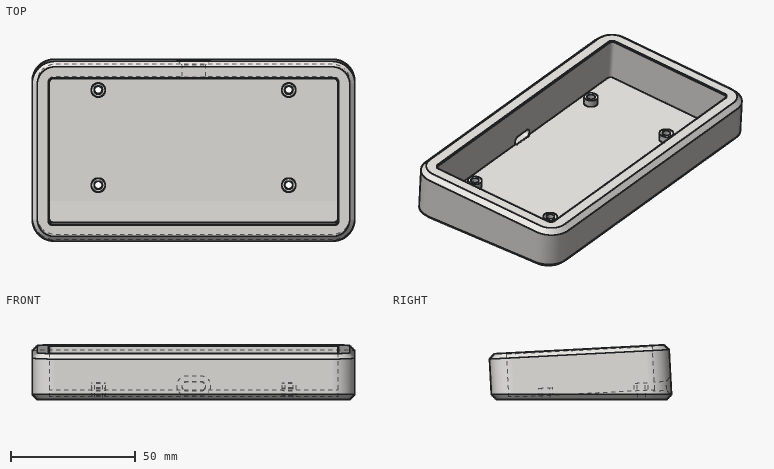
import cadquery as cq
import math

tilt = 3.0
length = 129.3
width = 72.1
overall_height = 22.0
corner_radius = 9.0
edge_chamfer = 2.1

wall = 6.9
cavity_radius = 1.5
cavity_depth = 17.7
rim_chamfer = 0.4
floor_thickness = 1.4

boss_diameter = 5.5
boss_hole_diameter = 3.2
boss_height = 3.0
boss_spacing = 38.1
boss_centre_y = 4.8

slot_width = 9.5
slot_height = 3.6
slot_drop = 0.5
slot_flare = 2.1

slope = math.radians(tilt)
rim_back_y = width / 2 - edge_chamfer
rim_height = (overall_height - rim_back_y * math.sin(slope)) / math.cos(slope)
cavity_floor = rim_height - cavity_depth
cavity_length = length - 2 * wall
cavity_width = width - 2 * wall
margin = 12.9
boss_root = floor_thickness / 2
boss_top = cavity_floor + boss_height


def tilted(shape):
    """Turn a body built square to the rim into its place."""
    return shape.rotate((0, 0, 0), (1, 0, 0), tilt)


def slab(bottom, top):
    """Large level block between two heights."""
    block = cq.Workplane("XY").workplane(offset=bottom)
    return block.rect(2 * length, 2 * length).extrude(top - bottom)


def make_body():
    block = (
        cq.Workplane("XY").workplane(offset=-margin)
        .rect(length, width).extrude(rim_height + margin)
        .edges("|Z").fillet(corner_radius)
        .faces(">Z").chamfer(edge_chamfer)
    )
    body = tilted(block).intersect(slab(0, overall_height + margin))
    return body.faces("<Z").chamfer(edge_chamfer)


def make_cavity():
    pocket = (
        cq.Workplane("XY").workplane(offset=cavity_floor)
        .rect(cavity_length, cavity_width).extrude(cavity_depth)
        .edges("|Z").fillet(cavity_radius)
    )
    mouth = (
        cq.Workplane("XY").workplane(offset=rim_height)
        .sketch().rect(cavity_length + 2 * rim_chamfer, cavity_width + 2 * rim_chamfer)
        .vertices().fillet(cavity_radius + rim_chamfer).finalize()
        .extrude(-rim_chamfer, taper=45)
    )
    return tilted(pocket.union(mouth)).intersect(slab(floor_thickness, overall_height + margin))


def boss_cylinders(diameter, bottom, top):
    cylinders = (
        cq.Workplane("XY").workplane(offset=bottom).center(0, boss_centre_y)
        .rect(2 * boss_spacing, boss_spacing, forConstruction=True).vertices()
        .circle(diameter / 2).extrude(top - bottom)
    )
    return tilted(cylinders)


def make_slot():
    bottom = cavity_floor - slot_drop
    middle = bottom + slot_height / 2
    passage = (
        cq.Workplane("XZ", origin=(0, width / 2, middle))
        .slot2D(slot_width, slot_height).extrude(wall + rim_chamfer)
    )
    flare = (
        cq.Workplane("XZ", origin=(0, width / 2, middle))
        .slot2D(slot_width + 2 * slot_flare, slot_height + 2 * slot_flare)
        .extrude(slot_flare, taper=45)
    )
    return tilted(passage.union(flare))


result = make_body().cut(make_cavity())
result = result.union(boss_cylinders(boss_diameter, cavity_floor - boss_root, boss_top))
result = result.cut(boss_cylinders(boss_hole_diameter, -margin, boss_top))
result = result.cut(make_slot())